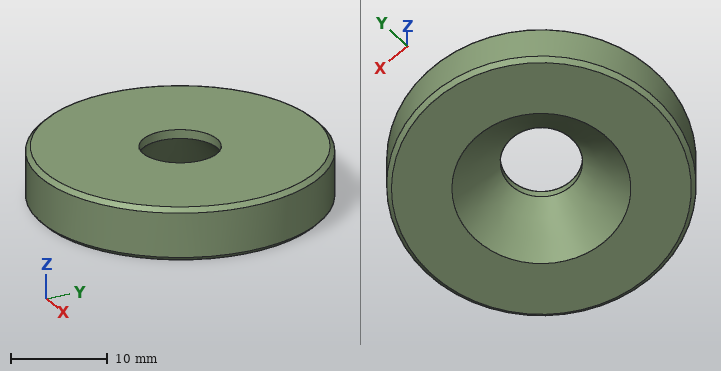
import cadquery as cq

outer_diameter = 32.0
thickness = 6.0
bore_diameter = 8.5
edge_chamfer = 0.5
bore_land = 1.0

outer_radius = outer_diameter / 2
bore_radius = bore_diameter / 2

countersink_depth = thickness - bore_land
countersink_radius = bore_radius + countersink_depth


def make_disc():
    """Plain disc with both outer edges chamfered."""
    disc = cq.Workplane("XY").circle(outer_radius).extrude(thickness)
    return disc.faces("<Z or >Z").edges().chamfer(edge_chamfer)


def make_opening():
    """Straight bore that flares into a countersink open at the bottom face."""
    half_profile = (
        cq.Workplane("XZ")
        .lineTo(countersink_radius, 0)
        .lineTo(bore_radius, countersink_depth)
        .lineTo(bore_radius, thickness)
        .lineTo(0, thickness)
        .close()
    )
    return half_profile.revolve(360, (0, 0), (0, 1))


result = make_disc().cut(make_opening())